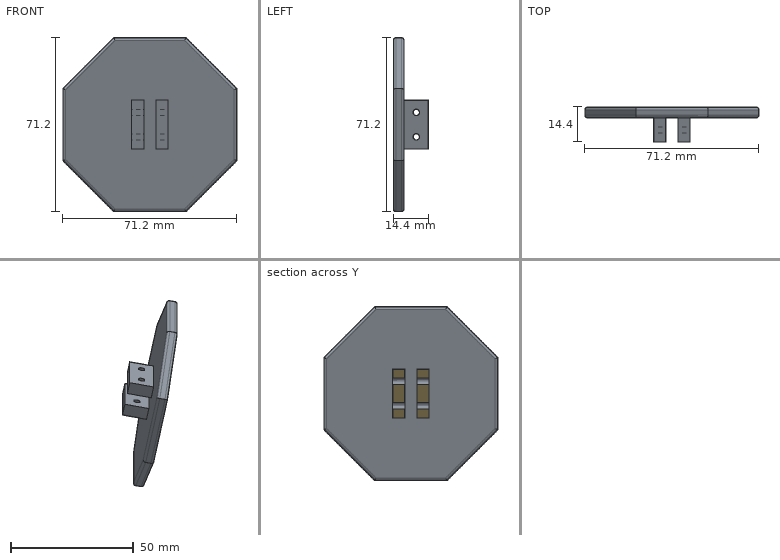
import cadquery as cq
import math

plate_sides = 8
plate_width = 71.2
plate_thickness = 4.4
edge_radius = 1.15

lug_length = 10.0
lug_width = 5.0
lug_gap = 5.0
lug_height = 20.0

hole_diameter = 2.5
hole_spacing = lug_height / 2


def make_plate():
    """Regular octagon with flat sides on the axes and rounded rims front and back."""
    corner_diameter = plate_width / math.cos(math.pi / plate_sides)
    return (
        cq.Workplane("XZ")
        .transformed(rotate=(0, 0, 180 / plate_sides))
        .polygon(plate_sides, corner_diameter)
        .extrude(-plate_thickness)
        .faces("<Y or >Y")
        .edges()
        .fillet(edge_radius)
    )


def make_lugs():
    """Two parallel rectangular lugs with a shared pair of cross holes."""
    lug_pitch = lug_width + lug_gap
    lugs = (
        cq.Workplane("XZ")
        .pushPoints([(-lug_pitch / 2, 0), (lug_pitch / 2, 0)])
        .rect(lug_width, lug_height)
        .extrude(lug_length)
    )
    holes = (
        cq.Workplane("YZ")
        .pushPoints([(-lug_length / 2, side * hole_spacing / 2) for side in (-1, 1)])
        .circle(hole_diameter / 2)
        .extrude(lug_pitch + lug_width, both=True)
    )
    return lugs.cut(holes)


result = make_plate().union(make_lugs())